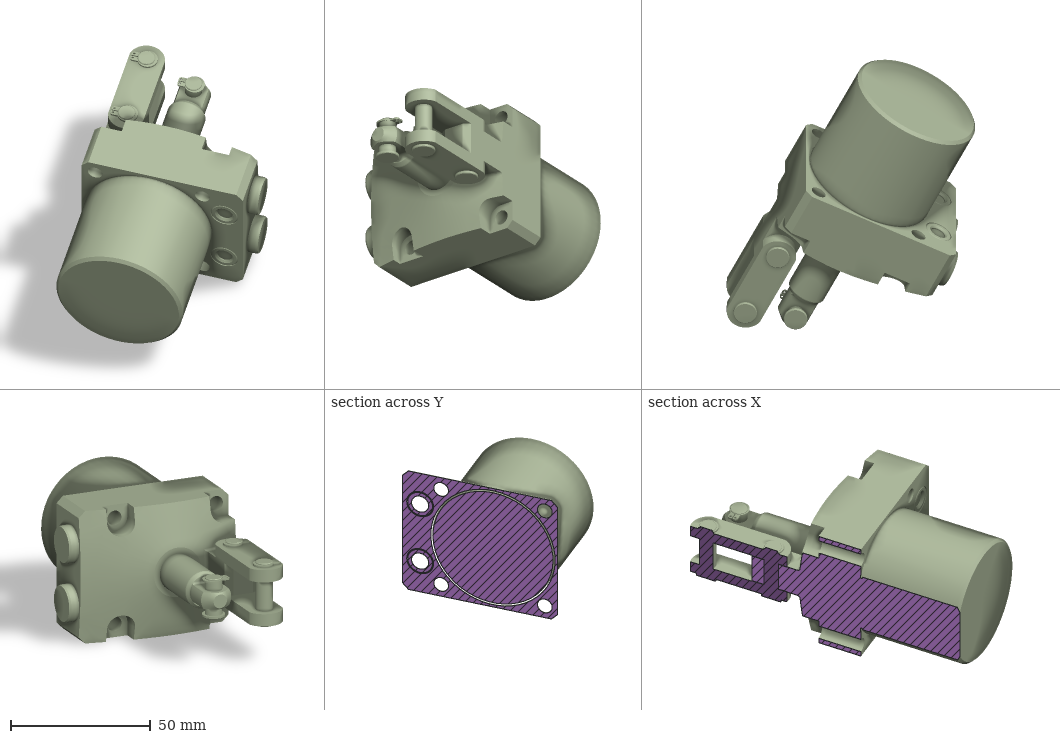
import cadquery as cq
import math


overall_length = 108.0

flange_height = 50.0
flange_length = 60.0
flange_left = -flange_height / 2
flange_right = flange_left + flange_length
corner_chamfer = 2.5
crown_y = 27.7
crown_radius = 9.3
crown_slope = 15.0
barrel_length = 39.5
barrel_radius = 23.5
barrel_chamfer = 1.1
neck_radius = 23.2
neck_length = 0.3
barrel_groove_radius = 23.9
barrel_groove_depth = 0.3

hole_offset = 20.0
hole_diameter = 5.5
spotface_radius = 5.1
spotface_y = 17.0

port_x = 28.1
port_z = 12.0
port_radius = 2.8
port_depth = 1.1
port_chamfer = 0.6
seal_outer_radius = 5.1
seal_groove_width = 0.4
seal_groove_depth = 0.4

tongue_width = 13.1
tongue_thickness = 12.0
tongue_end_y = 43.7
tongue_chamfer_x = 2.7
tongue_chamfer_y = 1.7
root_fillet = 1.0
plate_thickness = 4.6
plate_end_reach = 6.5
plate_shoulder = 1.5
link_pitch = 26.0
link_x = flange_left + tongue_width / 2
link_top_y = overall_length - barrel_length - plate_end_reach
link_bottom_y = link_top_y - link_pitch

pin_radius = 3.1
pin_tip_length = 1.3
pin_edge_chamfer = 0.2
groove_radius = 2.8
groove_height = 0.9
head_radius = 4.2
head_thickness = 1.0
clip_radius = 3.7
clip_offset = 0.4
clip_thickness = 0.6
lug_reach = 5.7
lug_half_width = 1.9
lug_gap = 0.3
lug_hole_diameter = 0.9
lug_hole_reach = 4.9
lug_hole_spacing = 1.9

rod_radius = 7.0
rod_edge_y = 49.7
rod_chamfer_y = 50.0
rod_edge_drop = 0.1
rod_shoulder_y = 51.4
eye_radius = 5.9
eye_thickness = 6.3
eye_chamfer_y = 60.9
eye_end_y = 64.5
eye_end_radius = 2.6
eye_fillet = 1.0
rod_pin_y = 58.6
rod_pin_half_grip = 6.3

plug_radius = 6.9
plug_length = 3.8
plug_chamfer_radial = 0.3
plug_chamfer_axial = 0.8
plug_y = 12.6
plug_z = 11.1

plate_inner_z = tongue_thickness / 2
plate_outer_z = plate_inner_z + plate_thickness


def cylinder_y(x, z, radius, y_start, y_end):
    """Cylinder parallel to Y between two Y positions."""
    return cq.Workplane("XY").add(
        cq.Solid.makeCylinder(radius, y_end - y_start, cq.Vector(x, y_start, z), cq.Vector(0, 1, 0))
    )


def cylinder_z(x, y, radius, z_start, z_end):
    """Cylinder parallel to Z between two Z positions."""
    return cq.Workplane("XY").workplane(offset=z_start).center(x, y).circle(radius).extrude(z_end - z_start)


def box_between(x_range, y_range, z_range):
    """Box given by its limits along the three axes."""
    lengths = [high - low for low, high in (x_range, y_range, z_range)]
    return cq.Workplane("XY").box(*lengths, centered=False).translate((x_range[0], y_range[0], z_range[0]))


def make_flange():
    """Chamfered block under a conical crown."""
    block = box_between(
        (flange_left, flange_right), (0, crown_y), (-flange_height / 2, flange_height / 2)
    )
    block = block.edges("|Y").chamfer(corner_chamfer)
    cone_radius = 2 * flange_length
    cone_drop = (cone_radius - crown_radius) * math.tan(math.radians(crown_slope))
    envelope = (
        cq.Workplane("XY")
        .moveTo(0, crown_y)
        .lineTo(crown_radius, crown_y)
        .lineTo(cone_radius, crown_y - cone_drop)
        .lineTo(0, crown_y - cone_drop)
        .close()
        .revolve(360, (0, 0, 0), (0, 1, 0))
    )
    return block.intersect(envelope)


def make_tongue():
    """Flat tongue that carries the link, with its two end corners cut at a slant."""
    half = tongue_thickness / 2
    tongue = box_between(
        (flange_left, flange_left + tongue_width), (spotface_y, tongue_end_y), (-half, half)
    )
    chamfer_corners = [
        (-tongue_width / 2, 0),
        (-tongue_width / 2 + tongue_chamfer_x, 0),
        (-tongue_width / 2, -tongue_chamfer_y),
    ]
    for side in (-1, 1):
        corner = cq.Workplane("XY").polyline([(side * x, y) for x, y in chamfer_corners]).close()
        tongue = tongue.cut(corner.extrude(half, both=True).translate((link_x, tongue_end_y, 0)))
    return tongue


def make_barrel():
    """Cylinder behind the flange, with a short neck next to the flange."""
    barrel = cylinder_y(0, 0, barrel_radius, -barrel_length, -neck_length)
    barrel = barrel.faces("<Y").chamfer(barrel_chamfer)
    return barrel.union(cylinder_y(0, 0, neck_radius, -neck_length, 0))


def make_barrel_groove():
    """Thin annular groove in the flange around the barrel neck."""
    disc = cylinder_y(0, 0, barrel_groove_radius, 0, barrel_groove_depth)
    return disc.cut(cylinder_y(0, 0, neck_radius, 0, barrel_groove_depth))


def make_mounting_cuts():
    """Four through holes with open spot faces on the crown side."""
    cuts = cq.Workplane("XY")
    outside = flange_height
    for side in (-1, 1):
        z = side * hole_offset
        for x in (-hole_offset, hole_offset):
            cuts = cuts.union(cylinder_y(x, z, hole_diameter / 2, 0, crown_y))
            cuts = cuts.union(cylinder_y(x, z, spotface_radius, spotface_y, crown_y))
        z_range = sorted((z, side * outside))
        slot_x_range = (hole_offset - spotface_radius, hole_offset + spotface_radius)
        cuts = cuts.union(box_between(slot_x_range, (spotface_y, crown_y), z_range))
        inner = hole_offset - spotface_radius
        z_range = sorted((side * inner, side * outside))
        corner = box_between((-outside, -inner), (spotface_y, crown_y), z_range)
        inner_edge = cq.selectors.NearestToPointSelector((-inner, (spotface_y + crown_y) / 2, side * inner))
        cuts = cuts.union(corner.edges("|Y").edges(inner_edge).fillet(spotface_radius))
    return cuts


def make_port_cut(z):
    """Shallow port with a chamfered mouth and a seal groove around it."""
    groove_inner = seal_outer_radius - seal_groove_width
    recess = (
        cq.Workplane("XY")
        .moveTo(0, 0)
        .lineTo(port_radius + port_chamfer, 0)
        .lineTo(port_radius, port_chamfer)
        .lineTo(port_radius, port_depth)
        .lineTo(0, port_depth)
        .close()
        .revolve(360, (0, 0, 0), (0, 1, 0))
    )
    groove = (
        cq.Workplane("XY")
        .moveTo(groove_inner, 0)
        .lineTo(seal_outer_radius, 0)
        .lineTo(seal_outer_radius, seal_groove_depth)
        .close()
        .revolve(360, (0, 0, 0), (0, 1, 0))
    )
    return recess.union(groove).translate((port_x, 0, z))


def make_housing():
    body = make_flange().union(make_tongue())
    root_zone = cq.selectors.BoxSelector(
        (flange_left + root_fillet, spotface_y, -plate_inner_z - root_fillet),
        (link_x + tongue_width / 2 + root_fillet, crown_y + root_fillet / 2, plate_inner_z + root_fillet),
    )
    body = body.edges(root_zone).fillet(root_fillet)
    body = body.cut(make_mounting_cuts()).cut(make_barrel_groove()).union(make_barrel())
    for z in (-port_z, port_z):
        body = body.cut(make_port_cut(z))
    pivot_hole = cylinder_z(link_x, link_bottom_y, pin_radius, -plate_inner_z, plate_inner_z)
    return body.cut(pivot_hole)


def make_clip():
    """Retaining ring on Z = 0 with two drilled lugs pointing toward -X."""
    ring = cq.Workplane("XY").center(clip_offset, 0).circle(clip_radius).extrude(clip_thickness)
    lugs = box_between((-lug_reach, 0), (-lug_half_width, lug_half_width), (0, clip_thickness))
    lugs = lugs.edges("|Z and <X").fillet(lug_half_width / 2)
    slot = box_between((-lug_reach, -groove_radius), (-lug_gap / 2, lug_gap / 2), (0, clip_thickness))
    lug_holes = (
        cq.Workplane("XY")
        .pushPoints([(-lug_hole_reach, side * lug_hole_spacing / 2) for side in (-1, 1)])
        .circle(lug_hole_diameter / 2)
        .extrude(clip_thickness)
    )
    return ring.union(lugs).cut(slot).cut(lug_holes)


def make_pin(x, y, half_grip):
    """Headed pin along Z, grooved at the top and fitted with its clip.

    The head and the clip sit at half_grip from the middle plane Z = 0.
    """
    groove_top_z = half_grip + groove_height
    shank = cylinder_z(x, y, pin_radius, -half_grip, half_grip)
    head = cylinder_z(x, y, head_radius, -half_grip - head_thickness, -half_grip)
    head = head.faces("<Z").chamfer(pin_edge_chamfer)
    neck = cylinder_z(x, y, groove_radius, half_grip, groove_top_z)
    tip = cylinder_z(x, y, pin_radius, groove_top_z, half_grip + pin_tip_length)
    tip = tip.faces(">Z").chamfer(pin_edge_chamfer)
    clip = make_clip().translate((x, y, half_grip))
    return shank.union(head).union(neck).union(tip).union(clip)


def make_rod():
    turned = (
        cq.Workplane("XY")
        .moveTo(0, crown_y)
        .lineTo(rod_radius, crown_y)
        .lineTo(rod_radius, rod_edge_y)
        .lineTo(rod_radius - rod_edge_drop, rod_chamfer_y)
        .lineTo(eye_radius, rod_shoulder_y)
        .lineTo(eye_radius, eye_chamfer_y)
        .lineTo(eye_end_radius, eye_end_y)
        .lineTo(0, eye_end_y)
        .close()
        .revolve(360, (0, 0, 0), (0, 1, 0))
    )
    for side in (-1, 1):
        z_range = sorted((side * eye_thickness / 2, side * rod_radius))
        flat = box_between((-rod_radius, rod_radius), (rod_shoulder_y, eye_end_y), z_range)
        foot = "<Y and <Z" if side > 0 else "<Y and >Z"
        turned = turned.cut(flat.edges(foot).fillet(eye_fillet))
    return turned.union(make_pin(0, rod_pin_y, rod_pin_half_grip))


def make_plate(z):
    left = flange_left
    right = flange_left + tongue_width
    top = link_top_y + plate_shoulder
    bottom = link_bottom_y - plate_shoulder
    return (
        cq.Workplane("XY")
        .workplane(offset=z)
        .moveTo(left, bottom)
        .lineTo(left, top)
        .threePointArc((link_x, link_top_y + plate_end_reach), (right, top))
        .lineTo(right, bottom)
        .threePointArc((link_x, link_bottom_y - plate_end_reach), (left, bottom))
        .close()
        .extrude(plate_thickness)
    )


def make_link():
    link = make_plate(plate_inner_z).union(make_plate(-plate_outer_z))
    for y in (link_top_y, link_bottom_y):
        link = link.union(make_pin(link_x, y, plate_outer_z))
    return link


def make_plug(z):
    end_x = flange_right + plug_length
    return (
        cq.Workplane("XY")
        .moveTo(flange_right, 0)
        .lineTo(flange_right, plug_radius)
        .lineTo(end_x - plug_chamfer_axial, plug_radius)
        .lineTo(end_x, plug_radius - plug_chamfer_radial)
        .lineTo(end_x, 0)
        .close()
        .revolve(360, (0, 0, 0), (1, 0, 0))
        .translate((0, plug_y, z))
    )


housing = make_housing()
rod = make_rod()
link = make_link()
plugs = [make_plug(z) for z in (-plug_z, plug_z)]

result = cq.Compound.makeCompound(
    [housing.val(), rod.val(), link.val(), *[plug.val() for plug in plugs]]
)